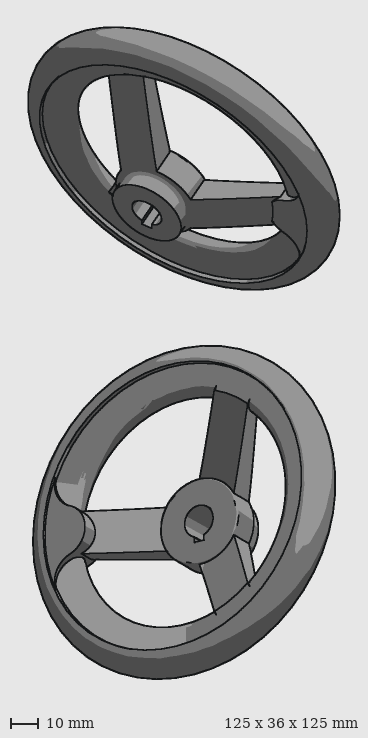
import cadquery as cq
import math


wheel_radius = 62.5
grip_radius = 8.0
grip_centre_radius = wheel_radius - grip_radius
lip_draft = 0.2
lip_radius = grip_centre_radius - lip_draft
flank_half_width = 6.2

nose_radius = 4.0
rim_bore_radius = 43.5
nose_centre_radius = rim_bore_radius + nose_radius

boss_radius = 10.0
boss_rear = 7.0
boss_blend_radius = 10.0

hub_length = 18.0
hub_front = -28.0
hub_rear = hub_front + hub_length
hub_radius = 16.4
hub_rear_fillet = 0.7
collar_radius = 14.0
collar_fillet = 2.8

shaft_radius = 6.0
key_width = 4.0
key_depth_from_axis = 7.8

spoke_count = 3
spoke_root_width = 17.0
spoke_tip_width = 16.0
web_meets_boss_radius = 39.6
web_front_slope = math.radians(32.5)
web_rear_slope = math.radians(27)
web_rear_root = hub_rear - hub_rear_fillet


def web_front(radius):
    """Y of the conical front face of the web."""
    return -flank_half_width - (web_meets_boss_radius - radius) * math.tan(web_front_slope)


def revolved(profile):
    """Turn a closed (radius, Y) profile around the wheel axis."""
    return profile.revolve(360, (0, 0, 0), (0, 1, 0))


def make_rim():
    run = lip_radius - nose_centre_radius
    distance = math.hypot(run, flank_half_width)
    angle = math.atan2(flank_half_width, run) + math.acos(nose_radius / distance)
    tangent_radius = nose_centre_radius + nose_radius * math.cos(angle)
    tangent_y = nose_radius * math.sin(angle)
    return revolved(
        cq.Workplane("XY")
        .moveTo(grip_centre_radius, -grip_radius)
        .threePointArc((wheel_radius, 0), (grip_centre_radius, grip_radius))
        .lineTo(lip_radius, flank_half_width)
        .lineTo(tangent_radius, tangent_y)
        .threePointArc((rim_bore_radius, 0), (tangent_radius, -tangent_y))
        .lineTo(lip_radius, -flank_half_width)
        .close()
    )


def make_hub_and_spokes():
    """Turned hub with a conical web, trimmed in plan to the hub circle and the spokes."""
    tip_radius = nose_centre_radius
    rear_end_radius = hub_radius + (nose_radius - web_rear_root) / math.tan(web_rear_slope)

    fillet_centre_radius = collar_radius + collar_fillet
    fillet_end_radius = fillet_centre_radius - collar_fillet * math.sin(web_front_slope)
    fillet_end_y = web_front(fillet_end_radius)
    fillet_centre_y = fillet_end_y - collar_fillet * math.cos(web_front_slope)
    fillet_middle_angle = (math.pi + math.pi / 2 + web_front_slope) / 2
    fillet_middle = (
        fillet_centre_radius + collar_fillet * math.cos(fillet_middle_angle),
        fillet_centre_y + collar_fillet * math.sin(fillet_middle_angle),
    )

    rear_flat_radius = hub_radius - hub_rear_fillet
    rear_middle = (
        rear_flat_radius + hub_rear_fillet * math.sqrt(0.5),
        web_rear_root + hub_rear_fillet * math.sqrt(0.5),
    )

    turned = revolved(
        cq.Workplane("XY")
        .moveTo(0, hub_front)
        .lineTo(collar_radius, hub_front)
        .lineTo(collar_radius, fillet_centre_y)
        .threePointArc(fillet_middle, (fillet_end_radius, fillet_end_y))
        .lineTo(tip_radius, web_front(tip_radius))
        .lineTo(tip_radius, nose_radius)
        .lineTo(rear_end_radius, nose_radius)
        .lineTo(hub_radius, web_rear_root)
        .threePointArc(rear_middle, (rear_flat_radius, hub_rear))
        .lineTo(0, hub_rear)
        .close()
    )

    spoke_plan = [
        (0, -spoke_root_width / 2),
        (wheel_radius, -spoke_tip_width / 2),
        (wheel_radius, spoke_tip_width / 2),
        (0, spoke_root_width / 2),
    ]
    bar = cq.Workplane("XZ").polyline(spoke_plan).close().extrude(wheel_radius, both=True)
    plan = cq.Workplane("XZ").circle(hub_radius).extrude(wheel_radius, both=True)
    for index in range(spoke_count):
        plan = plan.union(bar.rotate((0, 0, 0), (0, 1, 0), index * 360 / spoke_count))
    return turned.intersect(plan)


def make_handle_boss():
    """Round boss blended by concave arcs into the lip circle."""
    blend_orbit = grip_centre_radius - boss_blend_radius
    centre_gap = boss_radius + boss_blend_radius
    blend_x = (blend_orbit**2 - centre_gap**2 + nose_centre_radius**2) / (2 * nose_centre_radius)
    blend_z = math.sqrt(blend_orbit**2 - blend_x**2)
    waist_ratio = boss_radius / centre_gap
    waist_x = nose_centre_radius + (blend_x - nose_centre_radius) * waist_ratio
    waist_z = blend_z * waist_ratio
    end_x = blend_x * grip_centre_radius / blend_orbit
    end_z = blend_z * grip_centre_radius / blend_orbit
    waist_angle = math.atan2(waist_z - blend_z, waist_x - blend_x)
    end_angle = math.atan2(blend_z, blend_x)
    middle_angle = (waist_angle + end_angle) / 2
    middle_x = blend_x + boss_blend_radius * math.cos(middle_angle)
    middle_z = blend_z + boss_blend_radius * math.sin(middle_angle)
    return (
        cq.Workplane("XZ", origin=(0, boss_rear, 0))
        .moveTo(end_x, end_z)
        .threePointArc((middle_x, middle_z), (waist_x, waist_z))
        .threePointArc((nose_centre_radius - boss_radius, 0), (waist_x, -waist_z))
        .threePointArc((middle_x, -middle_z), (end_x, -end_z))
        .threePointArc((grip_centre_radius, 0), (end_x, end_z))
        .close()
        .extrude(boss_rear + flank_half_width)
    )


def make_shaft_hole():
    hole = cq.Workplane("XZ", origin=(0, hub_rear, 0)).circle(shaft_radius).extrude(hub_length)
    keyway = (
        cq.Workplane("XZ", origin=(0, hub_rear, 0))
        .center(0, -key_depth_from_axis / 2)
        .rect(key_width, key_depth_from_axis)
        .extrude(hub_length)
    )
    return hole.union(keyway)


result = (
    make_rim()
    .union(make_handle_boss())
    .union(make_hub_and_spokes())
    .cut(make_shaft_hole())
)